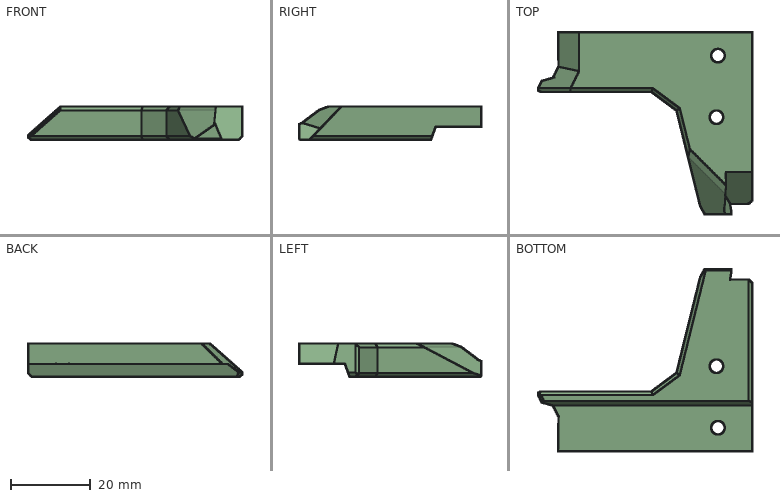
import cadquery as cq

length_x = 53.85
length_y = 45.75
thickness = 8.4
edge_chamfer = 0.95
foot_chamfer = 0.3

arm_edge_y = 30.7
inner_corner_1 = (28.5, arm_edge_y)
inner_corner_2 = (34.7, 26.05)
leg_foot_x = 41.2

hole_diameter = 3.35
hole_centers = [(45.15, 39.85), (44.8, 24.4)]

recess_height = 3.3
recess_top_y = 34.3
recess_bottom_y = 33.1

left_back_top = (10.25, length_y, thickness)
left_back_slope = 1.02
left_back_skew = 0.01
left_front_top = (8.2, 31.65, thickness)
left_front_slope = 1.13
left_front_skew = 0.5
tip_chamfer_start = (0.75, 31.65, 0.0)
tip_chamfer_slope = 0.65
left_corner_slope = 1.13

bevel_shallow_top = (38.3, 16.2, thickness)
bevel_break = (38.3, 13.85, 7.55)
bevel_steep_run = 1.43

notch_top_y = 10.6
notch_bottom_y = 2.6
notch_wall_top = (47.15, 0.0, thickness)
notch_wall_lean = 0.1
finger_foot = (48.65, 0.0, 0.0)
finger_side_slope = 0.42
finger_side_skew = 0.16

cutter_size = 4 * length_x


def half_space(point, normal):
    """Large block filling the side of a plane that its normal points to."""
    plane = cq.Plane(origin=point, normal=normal)
    return cq.Workplane(plane).rect(cutter_size, cutter_size).extrude(cutter_size)


def arm_zone(depth):
    """Strip of the left arm that reaches the given depth behind its inner wall."""
    strip = cq.Workplane("XY").box(inner_corner_1[0], depth, thickness, centered=False)
    return strip.translate((0, arm_edge_y, 0))


def plate():
    inner_path = [(0, arm_edge_y), inner_corner_1, inner_corner_2, (leg_foot_x, 0)]
    outline = inner_path + [(length_x, 0), (length_x, length_y), (0, length_y)]
    body = cq.Workplane("XY").polyline(outline).close().extrude(thickness)

    rim_points = [(length_x, length_y / 2, 0)]
    for start, end in zip(inner_path, inner_path[1:]):
        middle_x = (start[0] + end[0]) / 2
        middle_y = (start[1] + end[1]) / 2
        rim_points += [(middle_x, middle_y, 0), (middle_x, middle_y, thickness)]
    rims = cq.Workplane("XY")
    for point in rim_points:
        rims = rims.add(body.edges(cq.selectors.NearestToPointSelector(point)))
    return body.newObject(rims.vals()).chamfer(edge_chamfer)


def back_recess():
    profile = [
        (recess_bottom_y, 0),
        (recess_top_y, recess_height),
        (length_y, recess_height),
        (length_y, 0),
    ]
    return cq.Workplane("YZ").polyline(profile).close().extrude(length_x)


def left_end_cut():
    back = half_space(left_back_top, (-1, -left_back_skew, left_back_slope))
    front = half_space(left_front_top, (-1, left_front_skew, left_front_slope))
    return back.intersect(front)


def left_tip_chamfer():
    """Bevel under the tip of the mitred end, stopping short of the recess."""
    bevel = half_space(tip_chamfer_start, (-1, left_front_skew, -tip_chamfer_slope))
    return bevel.intersect(arm_zone(recess_top_y - arm_edge_y))


def left_corner_bevel():
    """Bevel along the upright corner between the mitred end and the inner wall."""
    bevel = half_space(left_front_top, (-1, -1, left_corner_slope))
    return bevel.intersect(arm_zone(edge_chamfer))


def leg_bevels():
    shallow_run = (bevel_shallow_top[1] - bevel_break[1]) / (thickness - bevel_break[2])
    shallow = half_space(bevel_shallow_top, (-1, -1, shallow_run))
    steep = half_space(bevel_break, (-1, -1, bevel_steep_run))
    leg_zone = cq.Workplane("XY").box(length_x, inner_corner_2[1], thickness, centered=False)
    return shallow.union(steep).intersect(leg_zone)


def end_notch():
    slope_run = (notch_top_y - notch_bottom_y) / thickness
    slope = half_space((length_x, notch_bottom_y, 0), (0, -1, slope_run))
    wall = half_space(notch_wall_top, (1, 0, -notch_wall_lean))
    finger_side = half_space(finger_foot, (1, finger_side_skew, finger_side_slope))
    return slope.intersect(wall).intersect(finger_side)


def foot_edge_chamfer():
    return half_space((length_x, foot_chamfer, 0), (0, -1, -1))


def holes():
    return cq.Workplane("XY").pushPoints(hole_centers).circle(hole_diameter / 2).extrude(thickness)


result = plate()
for cutter in (
    back_recess(),
    left_end_cut(),
    left_tip_chamfer(),
    left_corner_bevel(),
    leg_bevels(),
    end_notch(),
    foot_edge_chamfer(),
    holes(),
):
    result = result.cut(cutter)